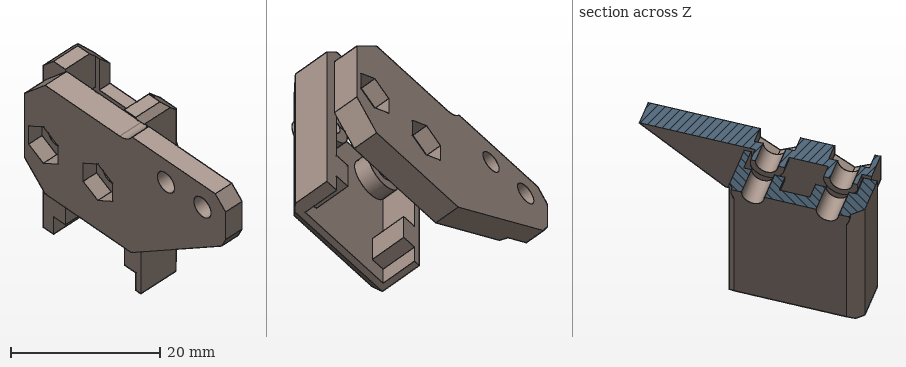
import cadquery as cq
import math

screw_x = (4.65, 15.15)
screw_z = 20.45
screw_hole_diameter = 3.2

plate_left = 1.0
plate_right = 39.77
plate_bottom = 11.95
plate_shoulder = 31.38
arm_top = 32.75
plate_thickness = 4.0
plate_corner = 4.0
arm_corner = 2.0
arm_blend_diameter = 5.6
arm_blend_radius = arm_blend_diameter / 2
arm_blend_start = 19.35
arm_tip_low_z = 25.77
arm_heel = (38.97, 24.1)
plate_bottom_end = 21.6
arm_hole_x = (28.28, 35.3)
arm_hole_z = 28.75
arm_hole_diameter = 3.3
nut_across_flats = 5.65
nut_depth = 2.5
nut_turn = 30.0
boss_diameter = 5.05
boss_height = 2.0
slot_clearance = 0.35

relief_depth = 0.9
relief_slope_width = 0.85
relief_edge_start = (20.45, 31.6)
relief_edge_angle = 37.0

housing_width = 18.8
housing_height = 31.0
housing_front = 4.5
housing_back = 12.1
web_thickness = 2.0
left_chamfer = 2.0
right_chamfer = 1.0
top_back_chamfer = 3.05
bottom_back_chamfer = 1.0
cavity_left = 4.25
cavity_right = 15.63
slot_left = 2.0
slot_right = 17.8
tab_bottom = 3.15
tab_top = 7.8
notch_left = 5.05
notch_right = 14.7
notch_floor = 24.35
post_diameter = 6.25
post_front = 7.65
web_front = housing_back - web_thickness


def block(x0, x1, y0, y1, z0, z1):
    """Box given by its limits along each axis."""
    return cq.Workplane("XY").box(x1 - x0, y1 - y0, z1 - z0, centered=False).translate((x0, y0, z0))


def cylinders(diameter, xs, z, y0, y1):
    """Equal cylinders along Y, from y0 to y1."""
    plane = cq.Workplane("XZ", origin=(0, y0, 0))
    return plane.pushPoints([(x, z) for x in xs]).circle(diameter / 2).extrude(y0 - y1)


def plate_blank():
    """Plate outline, with a concave blend from the shoulder up to the arm."""
    rise = arm_top - plate_shoulder
    blend_angle = math.acos(1 - rise / arm_blend_radius)
    blend_center_z = plate_shoulder + arm_blend_radius

    def blend_point(angle):
        return (
            arm_blend_start + arm_blend_radius * math.sin(angle),
            blend_center_z - arm_blend_radius * math.cos(angle),
        )

    return (
        cq.Workplane("XZ")
        .moveTo(plate_left + plate_corner, plate_bottom)
        .lineTo(plate_left, plate_bottom + plate_corner)
        .lineTo(plate_left, plate_shoulder - plate_corner)
        .lineTo(plate_left + plate_corner, plate_shoulder)
        .lineTo(arm_blend_start, plate_shoulder)
        .threePointArc(blend_point(blend_angle / 2), blend_point(blend_angle))
        .lineTo(plate_right - arm_corner, arm_top)
        .lineTo(plate_right, arm_top - arm_corner)
        .lineTo(plate_right, arm_tip_low_z)
        .lineTo(*arm_heel)
        .lineTo(plate_bottom_end, plate_bottom)
        .close()
        .extrude(-plate_thickness)
    )


def arm_relief():
    """Cutter that thins the back of the arm; its near side is a sloping step."""
    reach = plate_right
    floor = plate_thickness - relief_depth
    profile = [
        (plate_thickness, 0),
        (floor, relief_slope_width),
        (floor, reach),
        (plate_thickness, reach),
    ]
    cutter = cq.Workplane("YZ").polyline(profile).close().extrude(2 * reach).translate((-reach, 0, 0))
    edge_x, edge_z = relief_edge_start
    return cutter.rotate((0, 0, 0), (0, 1, 0), relief_edge_angle).translate((edge_x, 0, edge_z))


def make_plate():
    bosses = cylinders(boss_diameter, screw_x, screw_z, plate_thickness, plate_thickness + boss_height)
    bosses = bosses.intersect(
        block(slot_left + slot_clearance, slot_right - slot_clearance, 0, housing_back, 0, housing_height)
    )
    plate = plate_blank().cut(arm_relief()).union(bosses)
    plate = plate.cut(cylinders(screw_hole_diameter, screw_x, screw_z, 0, housing_back))
    plate = plate.cut(cylinders(arm_hole_diameter, arm_hole_x, arm_hole_z, 0, plate_thickness))
    nut_across_corners = nut_across_flats / math.cos(math.pi / 6)
    for x in screw_x:
        nut_pocket = cq.Workplane("XZ").polygon(6, nut_across_corners).extrude(-nut_depth)
        nut_pocket = nut_pocket.rotate((0, 0, 0), (0, 1, 0), nut_turn)
        plate = plate.cut(nut_pocket.translate((x, 0, screw_z)))
    return plate


def housing_blank():
    """Outer block: chamfered front outline, plan and side profile, all combined."""
    front_outline = [
        (0, 0),
        (housing_width, 0),
        (housing_width, housing_height - right_chamfer),
        (housing_width - right_chamfer, housing_height),
        (left_chamfer, housing_height),
        (0, housing_height - left_chamfer),
    ]
    plan = [
        (0, housing_front),
        (housing_width, housing_front),
        (housing_width, housing_back - right_chamfer),
        (housing_width - right_chamfer, housing_back),
        (left_chamfer, housing_back),
        (0, housing_back - left_chamfer),
    ]
    side = [
        (housing_front, 0),
        (housing_back - bottom_back_chamfer, 0),
        (housing_back, bottom_back_chamfer),
        (housing_back, housing_height - top_back_chamfer),
        (housing_back - top_back_chamfer, housing_height),
        (housing_front, housing_height),
    ]
    blank = cq.Workplane("XZ").polyline(front_outline).close().extrude(-housing_back)
    blank = blank.intersect(cq.Workplane("XY").polyline(plan).close().extrude(housing_height))
    return blank.intersect(cq.Workplane("YZ").polyline(side).close().extrude(housing_width))


def make_housing():
    housing = housing_blank()
    housing = housing.cut(block(cavity_left, cavity_right, housing_front, web_front, 0, housing_height))
    housing = housing.cut(block(slot_left, slot_right, housing_front, web_front, 0, tab_bottom))
    housing = housing.cut(block(slot_left, slot_right, housing_front, web_front, tab_top, notch_floor))
    housing = housing.cut(block(notch_left, notch_right, web_front, housing_back, notch_floor, housing_height))
    housing = housing.union(cylinders(post_diameter, screw_x, screw_z, post_front, housing_back))
    return housing.cut(cylinders(screw_hole_diameter, screw_x, screw_z, housing_front, housing_back))


plate = make_plate()
housing = make_housing()

result = cq.Compound.makeCompound([plate.val(), housing.val()])